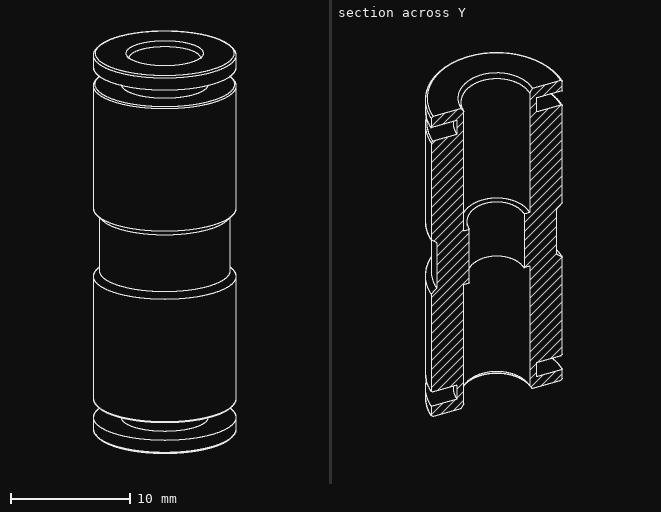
import cadquery as cq

total_length = 33.5
body_diameter = 12.0
waist_diameter = 11.0
neck_diameter = 7.3
tube_diameter = 6.0
mouth_diameter = 6.5
bore_diameter = 5.0

flange_thickness = 1.25
neck_length = 1.5
waist_length = 5.02
flange_chamfer = 0.17
body_chamfer = 0.15
mouth_depth = 0.45
tube_depth = 13.75

half_length = total_length / 2
flange_bottom = half_length - flange_thickness
body_top = flange_bottom - neck_length
waist_top = waist_length / 2
body_radius = body_diameter / 2
waist_radius = waist_diameter / 2
neck_radius = neck_diameter / 2
shoulder_height = body_radius - waist_radius
tube_radius = tube_diameter / 2
mouth_radius = mouth_diameter / 2


def outside_body():
    """Revolve the solid outline, whose lower half mirrors the upper one."""
    upper_outline = [
        (waist_radius, waist_top),
        (body_radius, waist_top + shoulder_height),
        (body_radius, body_top - body_chamfer),
        (body_radius - body_chamfer, body_top),
        (neck_radius, body_top),
        (neck_radius, flange_bottom),
        (body_radius, flange_bottom),
        (body_radius, half_length - flange_chamfer),
        (body_radius - flange_chamfer, half_length),
        (0, half_length),
    ]
    lower_outline = [(radius, -height) for radius, height in reversed(upper_outline)]
    outline = lower_outline + upper_outline
    return cq.Workplane("XZ").polyline(outline).close().revolve(360, (0, 0), (0, 1))


def tube_socket():
    """Tube socket entering from the top, with a chamfered mouth."""
    socket_floor = half_length - tube_depth
    outline = [
        (0, socket_floor),
        (tube_radius, socket_floor),
        (tube_radius, half_length - mouth_depth),
        (mouth_radius, half_length),
        (0, half_length),
    ]
    return cq.Workplane("XZ").polyline(outline).close().revolve(360, (0, 0), (0, 1))


upper_socket = tube_socket()
lower_socket = upper_socket.mirror("XY")

bore = cq.Workplane("XY").circle(bore_diameter / 2).extrude(half_length, both=True)

result = outside_body().cut(upper_socket).cut(lower_socket).cut(bore)